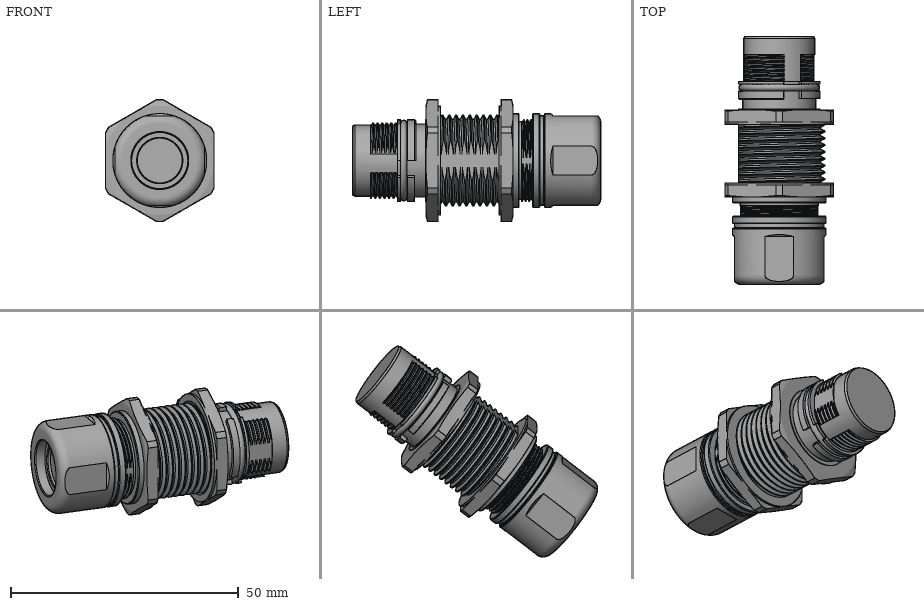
import cadquery as cq
import math

TOTAL_LENGTH = 54.55
PLUG_Y = TOTAL_LENGTH / 2

PLUG_RADIUS = 7.85
PLUG_CHAMFER_LENGTH = 0.5
PLUG_CHAMFER_DEPTH = 0.25
NECK_RADIUS = 8.05

PLUG_THREAD_SPAN = (3.95, 9.9)
PLUG_THREAD_CREST = 8.3
PLUG_THREAD_ROOT = 7.83
PLUG_THREAD_FLAT = 7.62
PLUG_THREAD_PITCH = 1.0
PLUG_THREAD_START = 2.0

BODY_THREAD_SPAN = (18.5, 32.5)
BODY_THREAD_CREST = 10.0
BODY_THREAD_ROOT = 9.12
BODY_THREAD_FLAT = 9.0
BODY_THREAD_PITCH = 1.5
BODY_COLLAR_RADIUS = 9.0
BODY_COLLAR_SPAN = (16.0, 17.0)
BODY_THREAD_START = 17.5

CAP_THREAD_SPAN = (37.1, 39.6)
CAP_THREAD_CREST = 9.0
CAP_THREAD_ROOT = 8.52
CAP_THREAD_FLAT = 8.49
CAP_THREAD_PITCH = 0.8
CAP_THREAD_START = 36.4

RIDGE_FOOT_SHARE = 0.85
RIDGE_CREST_SHARE = 0.15
RIDGE_EMBED = 0.15

THREAD_KEYWAYS = ((53.2, 82.3), (169.5, 200.0), (291.0, 320.0))
COLLAR_KEYWAYS = ((57.3, 83.6), (180.0, 204.3), (299.0, 324.0))
KEYWAY_INNER_RADIUS = 7.0

COLLAR_RADIUS = 9.0
COLLAR_SPAN = (9.9, 10.5)
LUG_SPAN = (12.05, 13.6)
LONG_LUG_END = 13.9
LUG_CHAMFER = 0.3
O_RING_STATION = 11.25
O_RING_SECTION = 0.72
O_RING_OUTER_RADIUS = 8.87

NUT_ACROSS_FLATS = 23.9
NUT_CORNER_RADIUS = 13.4
NUT_FACE_RADIUS = 12.0
NUT_BEVEL_LENGTH = 0.32
REAR_NUT_SPAN = (16.12, 18.77)
REAR_NUT_FACE_END = 19.33
NUT_MOUTH_RADIUS = 10.4
NUT_MOUTH_INNER_RADIUS = 9.4
NUT_MOUTH_DEPTH = 0.6
FRONT_NUT_SPAN = (32.62, 35.27)
FRONT_NUT_FACE_START = 32.2

RING_RADIUS = 10.32
RING_EDGE = 0.2
SHOULDER_SPAN = (35.0, 36.6)
RELIEF_RADIUS = 8.6
CLAMP_RING_SPAN = (39.5, 41.15)
GROOVE_RADIUS = 9.86
GAP_START = 41.95
GAP_RADIUS = 9.6

CAP_START = 42.1
CAP_EDGE_RADIUS = 2.05
FLAT_COUNT = 4
FLAT_DISTANCE = 9.83
FLAT_START = 44.0
BORE_RADIUS = 6.17
BORE_MOUTH_RADIUS = 6.37
BORE_DEPTH = 2.35
SEAL_RADIUS = 4.93
SEAL_MOUTH_RADIUS = 5.08
SEAL_DEPTH = 3.2
MOUTH_FLARE_LENGTH = 0.25

OVERSIZE = 30.0


def plane_at(station):
    """Workplane across the axis, with +X right, +Z up and its normal along -Y."""
    return cq.Workplane("XZ", origin=(0, PLUG_Y - station, 0))


def disc(radius, span):
    return plane_at(span[0]).circle(radius).extrude(span[1] - span[0])


def bevelled_disc(radius, span, edge):
    return disc(radius, span).edges().chamfer(edge)


def cone(mouth_radius, inner_radius, mouth_station, depth):
    """Countersink that narrows from its mouth towards the plug end."""
    mouth = cq.Vector(0, PLUG_Y - mouth_station, 0)
    return cq.Workplane("XY").newObject(
        [cq.Solid.makeCone(mouth_radius, inner_radius, depth, pnt=mouth, dir=cq.Vector(0, 1, 0))]
    )


def outside_flats(half_distance):
    """Two blocks lying beyond the planes X = +half_distance and X = -half_distance."""
    block = cq.Workplane("XY").box(OVERSIZE, 2 * TOTAL_LENGTH, OVERSIZE)
    shift = half_distance + OVERSIZE / 2
    return block.translate((shift, 0, 0)).union(block.translate((-shift, 0, 0)))


def sector(angles, span):
    """Block between two angles, outside the keyway inner radius, running along the axis."""
    corners = [(OVERSIZE * math.cos(math.radians(a)), OVERSIZE * math.sin(math.radians(a))) for a in angles]
    wedge = plane_at(span[0]).polyline([(0, 0)] + corners).close().extrude(span[1] - span[0])
    return wedge.cut(disc(KEYWAY_INNER_RADIUS, span))


def keyways(angle_pairs, span):
    blocks = sector(angle_pairs[0], span)
    for angles in angle_pairs[1:]:
        blocks = blocks.union(sector(angles, span))
    return blocks


def threaded_rod(span, start, pitch, root, crest, flat):
    """Right-handed thread on a core, cut by flats on the +X and -X sides."""
    half_crest = RIDGE_CREST_SHARE * pitch / 2
    half_foot = RIDGE_FOOT_SHARE * pitch / 2
    foot = root - RIDGE_EMBED
    turns = math.ceil((span[1] - start) / pitch) + 1
    path = cq.Wire.makeHelix(pitch, turns * pitch, root)
    ridge = (
        cq.Workplane("XZ")
        .polyline([(foot, -half_foot), (crest, -half_crest), (crest, half_crest), (foot, half_foot)])
        .close()
        .sweep(cq.Workplane(path), isFrenet=True)
        .rotate((0, 0, 0), (1, 0, 0), 90)
        .rotate((0, 0, 0), (0, 1, 0), 90)
        .translate((0, PLUG_Y - start, 0))
    )
    rod = disc(root, span).union(ridge.intersect(disc(OVERSIZE, span)))
    return rod.cut(outside_flats(flat))


def plug_thread():
    span = PLUG_THREAD_SPAN
    rod = threaded_rod(span, PLUG_THREAD_START, PLUG_THREAD_PITCH,
                       PLUG_THREAD_ROOT, PLUG_THREAD_CREST, PLUG_THREAD_FLAT)
    slots = keyways(THREAD_KEYWAYS, span)
    return rod.cut(slots).union(disc(PLUG_RADIUS, span).intersect(slots))


def plug():
    nose = (
        plane_at(0).circle(PLUG_RADIUS).extrude(PLUG_THREAD_SPAN[0])
        .faces(">Y").chamfer(PLUG_CHAMFER_LENGTH, PLUG_CHAMFER_DEPTH)
    )
    return nose.union(plug_thread()).union(disc(NECK_RADIUS, (COLLAR_SPAN[0], REAR_NUT_SPAN[0])))


def collar_and_lugs():
    span = (COLLAR_SPAN[0], LONG_LUG_END)
    long_lug_sector = sector((COLLAR_KEYWAYS[0][1], COLLAR_KEYWAYS[1][0]), span)
    long_lug = disc(COLLAR_RADIUS, (LUG_SPAN[0], LONG_LUG_END)).faces("<Y").chamfer(LUG_CHAMFER)
    rings = (
        disc(COLLAR_RADIUS, COLLAR_SPAN)
        .union(disc(COLLAR_RADIUS, LUG_SPAN))
        .cut(keyways(COLLAR_KEYWAYS, span))
    )
    return rings.union(long_lug.intersect(long_lug_sector))


def o_ring():
    centre_radius = O_RING_OUTER_RADIUS - O_RING_SECTION
    section_plane = cq.Plane((centre_radius, PLUG_Y - O_RING_STATION, 0), xDir=(-1, 0, 0), normal=(0, 0, 1))
    return (
        cq.Workplane(section_plane)
        .circle(O_RING_SECTION)
        .revolve(360, (centre_radius, 0, 0), (centre_radius, 1, 0))
    )


def hexagon_nut(span, bevelled_side, face_span):
    """Hexagon with corners on +Z and -Z, one bevelled side and one round washer face."""
    start = min(span[0], face_span[0])
    end = max(span[1], face_span[1])
    corner_diameter = NUT_ACROSS_FLATS / math.cos(math.pi / 6)
    hexagon = plane_at(start).polygon(6, corner_diameter).extrude(end - start)
    hexagon = hexagon.rotate((0, 0, 0), (0, 1, 0), 30)
    blank = (
        disc(NUT_CORNER_RADIUS, span)
        .faces(bevelled_side)
        .chamfer(NUT_BEVEL_LENGTH, NUT_CORNER_RADIUS - NUT_FACE_RADIUS)
        .union(disc(NUT_FACE_RADIUS, face_span))
    )
    return hexagon.intersect(blank)


def body():
    main = threaded_rod(BODY_THREAD_SPAN, BODY_THREAD_START, BODY_THREAD_PITCH,
                        BODY_THREAD_ROOT, BODY_THREAD_CREST, BODY_THREAD_FLAT)
    shoulder = disc(RING_RADIUS, SHOULDER_SPAN).faces("<Y").chamfer(RING_EDGE)
    relief = disc(RELIEF_RADIUS, (SHOULDER_SPAN[1], CAP_THREAD_SPAN[0]))
    cap_thread = threaded_rod(CAP_THREAD_SPAN, CAP_THREAD_START, CAP_THREAD_PITCH,
                              CAP_THREAD_ROOT, CAP_THREAD_CREST, CAP_THREAD_FLAT)
    collar = disc(BODY_COLLAR_RADIUS, BODY_COLLAR_SPAN)
    return main.union(collar).union(shoulder).union(relief).union(cap_thread)


def flat_cutter():
    """Cutter for the +Z flat; its plug-side wall slopes at 45 degrees."""
    height = OVERSIZE - FLAT_DISTANCE
    start_y = PLUG_Y - FLAT_START
    end_y = PLUG_Y - TOTAL_LENGTH - 1
    return (
        cq.Workplane("YZ")
        .polyline([(end_y, FLAT_DISTANCE), (start_y, FLAT_DISTANCE),
                   (start_y + height, OVERSIZE), (end_y, OVERSIZE)])
        .close()
        .extrude(OVERSIZE / 2, both=True)
    )


def cap():
    shell = disc(RING_RADIUS, (CAP_START, TOTAL_LENGTH))
    shell = shell.faces("<Y").edges().fillet(CAP_EDGE_RADIUS)
    shell = shell.faces(">Y").edges().chamfer(RING_EDGE)
    for index in range(FLAT_COUNT):
        shell = shell.cut(flat_cutter().rotate((0, 0, 0), (0, 1, 0), index * 360 / FLAT_COUNT))
    ledge = TOTAL_LENGTH - BORE_DEPTH
    floor = TOTAL_LENGTH - SEAL_DEPTH
    bore = disc(BORE_RADIUS, (ledge, TOTAL_LENGTH))
    bore_mouth = cone(BORE_MOUTH_RADIUS, BORE_RADIUS, TOTAL_LENGTH, MOUTH_FLARE_LENGTH)
    seal = disc(SEAL_RADIUS, (floor, ledge))
    seal_mouth = cone(SEAL_MOUTH_RADIUS, SEAL_RADIUS, ledge, MOUTH_FLARE_LENGTH)
    return shell.cut(bore).cut(bore_mouth).cut(seal).cut(seal_mouth)


def clamp_ring():
    ring = bevelled_disc(RING_RADIUS, CLAMP_RING_SPAN, RING_EDGE)
    groove = disc(GROOVE_RADIUS, (CLAMP_RING_SPAN[1], GAP_START))
    gap = disc(GAP_RADIUS, (GAP_START, CAP_START))
    return ring.union(groove).union(gap)


rear_nut = hexagon_nut(REAR_NUT_SPAN, ">Y", (REAR_NUT_SPAN[1], REAR_NUT_FACE_END)).cut(
    cone(NUT_MOUTH_RADIUS, NUT_MOUTH_INNER_RADIUS, REAR_NUT_FACE_END, NUT_MOUTH_DEPTH)
)
front_nut = hexagon_nut(FRONT_NUT_SPAN, "<Y", (FRONT_NUT_FACE_START, FRONT_NUT_SPAN[0]))

result = (
    body()
    .union(plug())
    .union(collar_and_lugs())
    .union(o_ring())
    .union(rear_nut)
    .union(front_nut)
    .union(clamp_ring())
    .union(cap())
)